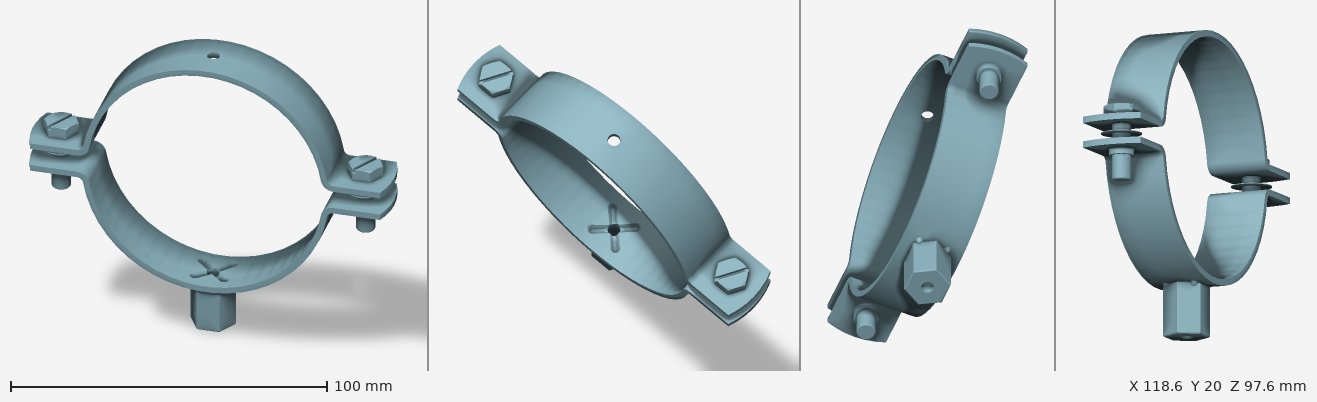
import cadquery as cq
import math

band_width = 20.0
band_thickness = 2.0
ring_outer_radius = 40.6
bend_radius = 2.0
lug_gap = 5.9
lug_end_x = 59.3
lug_end_bulge = 1.9
bore_diameter = 4.0

collar_diameter = 8.0
collar_height = 2.0
collar_fillet = 0.6

cross_arm_length = 17.1
cross_arm_width = 3.5
cross_arm_angles = (45, 135)
groove_top_z = -38.0
groove_floor_z = -39.6
bump_bottom_z = -41.4
cross_taper = 35

screw_x = 50.0
screw_diameter = 6.0
screw_length = 19.9
screw_tip_chamfer = 0.4
head_across_flats = 10.0
head_height = 4.0
head_bevel_angle = 30
slot_width = 1.2
slot_depth = 1.4
slot_angle = 60

washer_diameter = 13.0
washer_thickness = 0.2

nut_across_flats = 12.9
nut_top_z = -40.2
nut_bottom_z = -57.0
nut_chamfer_height = 0.6
nut_chamfer_inset = 0.4
nut_bottom_chamfer = 0.4

ring_inner_radius = ring_outer_radius - band_thickness
lug_inner_z = lug_gap / 2
lug_outer_z = lug_inner_z + band_thickness
bend_z = lug_outer_z + bend_radius
bend_x = math.sqrt((ring_outer_radius + bend_radius) ** 2 - bend_z**2)
bend_angle = math.atan2(bend_z, bend_x)
past_ring = ring_outer_radius + 1.2
screw_sides = (-screw_x, screw_x)


def on_ring(radius):
    """Point on the ring where it runs into the right-hand bend."""
    return radius * math.cos(bend_angle), radius * math.sin(bend_angle)


def mid_bend(radius):
    """Halfway point of the right-hand bend, between its ring end and its lug end."""
    angle = (bend_angle + math.pi + 1.5 * math.pi) / 2
    return bend_x + radius * math.cos(angle), bend_z + radius * math.sin(angle)


def mirrored(point):
    return -point[0], point[1]


def band_profile():
    """XZ outline of the upper half: two lugs, two bends and the ring arc."""
    outer_mid = mid_bend(bend_radius)
    inner_mid = mid_bend(bend_radius + band_thickness)
    outer_start = on_ring(ring_outer_radius)
    inner_start = on_ring(ring_inner_radius)
    return (
        cq.Workplane("XZ")
        .moveTo(lug_end_x, lug_outer_z)
        .lineTo(bend_x, lug_outer_z)
        .threePointArc(outer_mid, outer_start)
        .threePointArc((0, ring_outer_radius), mirrored(outer_start))
        .threePointArc(mirrored(outer_mid), (-bend_x, lug_outer_z))
        .lineTo(-lug_end_x, lug_outer_z)
        .lineTo(-lug_end_x, lug_inner_z)
        .lineTo(-bend_x, lug_inner_z)
        .threePointArc(mirrored(inner_mid), mirrored(inner_start))
        .threePointArc((0, ring_inner_radius), inner_start)
        .threePointArc(inner_mid, (bend_x, lug_inner_z))
        .lineTo(lug_end_x, lug_inner_z)
        .close()
    )


def plan_prism():
    """Plan shape of the band, with arced lug ends, as an upright prism."""
    corner_x = lug_end_x - lug_end_bulge
    half_width = band_width / 2
    return (
        cq.Workplane("XY")
        .moveTo(-corner_x, -half_width)
        .lineTo(corner_x, -half_width)
        .threePointArc((lug_end_x, 0), (corner_x, half_width))
        .lineTo(-corner_x, half_width)
        .threePointArc((-lug_end_x, 0), (-corner_x, -half_width))
        .close()
        .extrude(past_ring)
    )


def band_half():
    """Upper half with its crown hole but no screw holes."""
    strip = band_profile().extrude(band_width / 2, both=True).intersect(plan_prism())
    crown_hole = cq.Workplane("XY").circle(bore_diameter / 2).extrude(past_ring)
    return strip.cut(crown_hole)


def screw_holes():
    return (
        cq.Workplane("XY")
        .pushPoints([(x, 0) for x in screw_sides])
        .circle(screw_diameter / 2)
        .extrude(past_ring, both=True)
    )


def collar(x):
    """Collar hanging from a lower lug, flared where it meets the lug."""
    radius = collar_diameter / 2
    flare_radius = radius + collar_fillet
    arc_offset = collar_fillet * (1 - math.sqrt(0.5))
    top_z = -lug_outer_z
    return (
        cq.Workplane("XZ")
        .moveTo(0, top_z)
        .lineTo(flare_radius, top_z)
        .threePointArc((radius + arc_offset, top_z - arc_offset), (radius, top_z - collar_fillet))
        .lineTo(radius, top_z - collar_height)
        .lineTo(0, top_z - collar_height)
        .close()
        .revolve(360, (0, 0), (0, 1))
        .translate((x, 0, 0))
    )


def cross(top_z, bottom_z):
    """Two crossed round-ended bars whose walls taper inward going down."""
    bars = cq.Workplane("XY")
    for angle in cross_arm_angles:
        bar = (
            cq.Workplane("XY", origin=(0, 0, top_z))
            .slot2D(cross_arm_length, cross_arm_width, angle)
            .extrude(bottom_z - top_z, taper=cross_taper)
        )
        bars = bars.union(bar)
    return bars


def make_upper_band():
    return band_half().cut(screw_holes())


def make_lower_band():
    band = band_half().mirror("XY")
    for x in screw_sides:
        band = band.union(collar(x))
    band = band.union(cross(groove_floor_z, bump_bottom_z))
    band = band.cut(cross(groove_top_z, groove_floor_z))
    crown_hole = cq.Workplane("XY").circle(bore_diameter / 2).extrude(-past_ring)
    return band.cut(crown_hole).cut(screw_holes())


def hexagon(across_flats):
    """Hexagon with corners on the X axis."""
    return cq.Workplane("XY").polygon(6, across_flats / math.cos(math.pi / 6))


def make_screw(x):
    shank = (
        cq.Workplane("XY")
        .circle(screw_diameter / 2)
        .extrude(-screw_length)
        .faces("<Z")
        .chamfer(screw_tip_chamfer)
    )
    cone_base_radius = head_across_flats / 2 + head_height / math.tan(math.radians(head_bevel_angle))
    bevel_cone = cq.Workplane("XY").add(
        cq.Solid.makeCone(cone_base_radius, head_across_flats / 2, head_height)
    )
    head = hexagon(head_across_flats).extrude(head_height).intersect(bevel_cone)
    slot = (
        cq.Workplane("XY")
        .box(2 * head_across_flats, slot_width, slot_depth, centered=(True, True, False))
        .rotate((0, 0, 0), (0, 0, 1), slot_angle)
        .translate((0, 0, head_height - slot_depth))
    )
    return shank.union(head.cut(slot)).translate((x, 0, lug_outer_z))


def make_washer(x):
    return (
        cq.Workplane("XY", origin=(x, 0, 0))
        .circle(washer_diameter / 2)
        .circle(screw_diameter / 2)
        .extrude(washer_thickness / 2, both=True)
    )


def make_nut(band):
    """Long hexagon nut whose top is shaped to the underside of the lower band."""
    body = (
        hexagon(nut_across_flats)
        .extrude(nut_top_z - nut_bottom_z)
        .faces(">Z")
        .chamfer(nut_chamfer_height, nut_chamfer_inset)
        .faces("<Z")
        .chamfer(nut_bottom_chamfer)
        .translate((0, 0, nut_bottom_z))
    )
    bore = cq.Workplane("XY").circle(bore_diameter / 2).extrude(nut_bottom_z)
    return body.cut(bore).cut(band)


upper_band = make_upper_band()
lower_band = make_lower_band()
nut = make_nut(lower_band)
screws = [make_screw(x) for x in screw_sides]
washers = [make_washer(x) for x in screw_sides]

bodies = [upper_band, lower_band, nut, *screws, *washers]
result = cq.Compound.makeCompound([body.solids().val() for body in bodies])